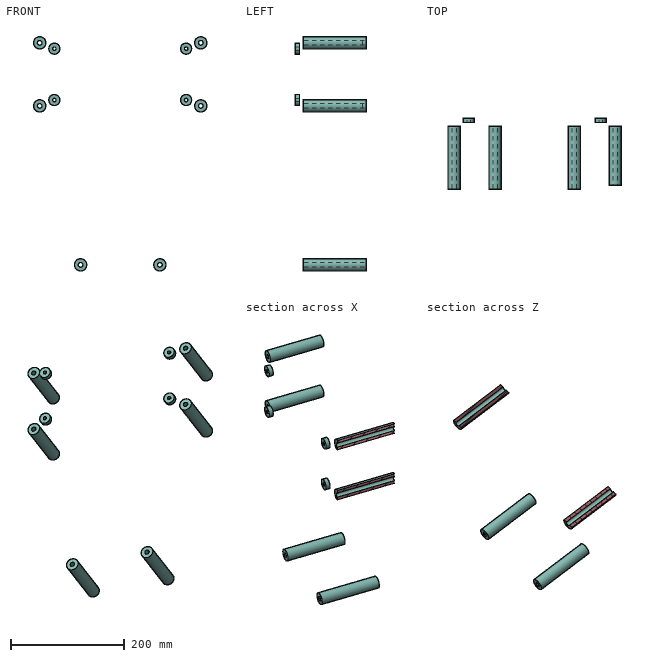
import cadquery as cq

TOTAL_WIDTH = 306.5
TOTAL_DEPTH = 126.0
TOTAL_HEIGHT = 414.5

SPACER_DIAMETER = 22.0
SPACER_BORE = 8.0
LONG_SPACER_LENGTH = 112.0
SHORT_SPACER_LENGTH = 105.0

RING_DIAMETER = 20.0
RING_BORE = 6.0
RING_LENGTH = 8.0

UPPER_SPACER_X = (TOTAL_WIDTH - SPACER_DIAMETER) / 2
LOWER_SPACER_X = 70.0
TOP_ROW_Z = (TOTAL_HEIGHT - SPACER_DIAMETER) / 2
BOTTOM_ROW_Z = -TOP_ROW_Z
UPPER_ROW_SPACING = 111.5
SECOND_ROW_Z = TOP_ROW_Z - UPPER_ROW_SPACING

RING_X = 116.5
RING_ROW_INSET = 10.5
RING_ROWS_Z = (TOP_ROW_Z - RING_ROW_INSET, SECOND_ROW_Z + RING_ROW_INSET)

SPACER_BACK_Y = LONG_SPACER_LENGTH - TOTAL_DEPTH / 2
RING_BACK_Y = TOTAL_DEPTH / 2


def tube(diameter, bore, length, x, back_y, z):
    """Bored cylinder along Y, reaching forward (-Y) from its back face."""
    return (
        cq.Workplane("XZ", origin=(x, back_y, z))
        .circle(diameter / 2)
        .circle(bore / 2)
        .extrude(length)
    )


def spacer(x, z, length):
    return tube(SPACER_DIAMETER, SPACER_BORE, length, x, SPACER_BACK_Y, z)


def ring(x, z):
    return tube(RING_DIAMETER, RING_BORE, RING_LENGTH, x, RING_BACK_Y, z)


upper_spacers = []
for row_z in (TOP_ROW_Z, SECOND_ROW_Z):
    upper_spacers.append(spacer(-UPPER_SPACER_X, row_z, LONG_SPACER_LENGTH))
    upper_spacers.append(spacer(UPPER_SPACER_X, row_z, SHORT_SPACER_LENGTH))

lower_spacers = []
for side in (-1, 1):
    lower_spacers.append(spacer(side * LOWER_SPACER_X, BOTTOM_ROW_Z, LONG_SPACER_LENGTH))

rings = []
for row_z in RING_ROWS_Z:
    for side in (-1, 1):
        rings.append(ring(side * RING_X, row_z))

bodies = upper_spacers + lower_spacers + rings
result = cq.Compound.makeCompound([body.val() for body in bodies])